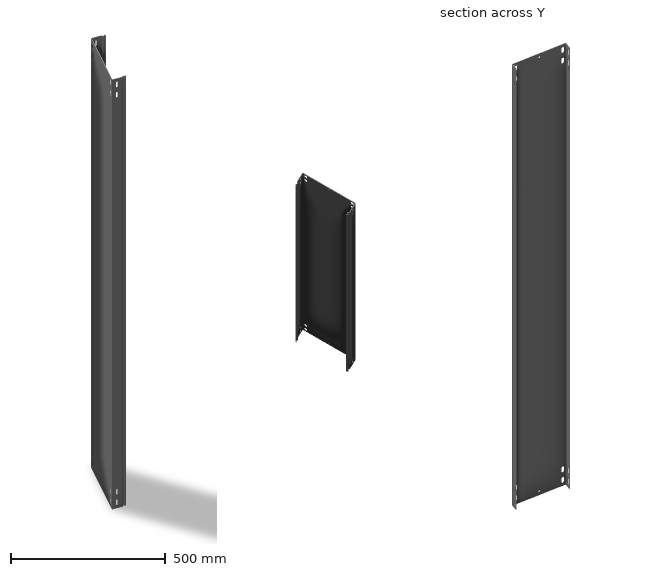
import cadquery as cq

length = 2000.0
width = 200.0
depth = 50.0
sheet = 2.0

groove_front = 13.5
groove_bottom = 9.8
groove_back = 4.2
groove_inset = 4.5
tip_inset = 4.8

web_slot_length = 25.0
web_slot_width = 10.0
web_slot_side_distance = 13.0
web_slot_end_distances = (25.0, 75.0)

flange_slot_length = 25.0
flange_slot_width = 5.5
flange_slot_front_distance = 17.0
flange_slot_end_distances = (28.0, 75.0)

end_hole_diameter = 7.2
end_hole_distance = 17.0

half_width = width / 2
half_length = length / 2
front_y = -depth / 2
back_y = depth / 2


def channel():
    """Web at the front with two flanges running back to crimped lips."""
    flange_bends = [
        (0, groove_front),
        (groove_inset, groove_bottom),
        (0, groove_back),
        (tip_inset, 0),
    ]
    outer = [(half_width - inset, back_y - distance) for inset, distance in flange_bends]
    inner = [(x - sheet, y) for x, y in reversed(outer)]
    right_half = [(half_width, front_y)] + outer + inner + [(half_width - sheet, front_y + sheet)]
    left_half = [(-x, y) for x, y in reversed(right_half)]
    profile = cq.Workplane("XY").polyline(right_half + left_half).close()
    return profile.extrude(half_length, both=True)


def heights_near_both_ends(end_distances):
    """Z positions lying at the given distances from each end."""
    return [side * (half_length - distance) for side in (-1, 1) for distance in end_distances]


def web_slots():
    slot_x = half_width - web_slot_side_distance
    heights = heights_near_both_ends(web_slot_end_distances)
    points = [(x, z) for x in (-slot_x, slot_x) for z in heights]
    slots = cq.Workplane("XZ").pushPoints(points).slot2D(web_slot_length, web_slot_width, 90)
    return slots.extrude(depth, both=True)


def flange_slots():
    slot_y = front_y + flange_slot_front_distance
    points = [(slot_y, z) for z in heights_near_both_ends(flange_slot_end_distances)]
    slots = cq.Workplane("YZ").pushPoints(points).slot2D(flange_slot_length, flange_slot_width, 90)
    return slots.extrude(width, both=True)


def end_holes():
    points = [(0, z) for z in heights_near_both_ends([end_hole_distance])]
    holes = cq.Workplane("XZ").pushPoints(points).circle(end_hole_diameter / 2)
    return holes.extrude(depth, both=True)


result = channel().cut(web_slots()).cut(flange_slots()).cut(end_holes())